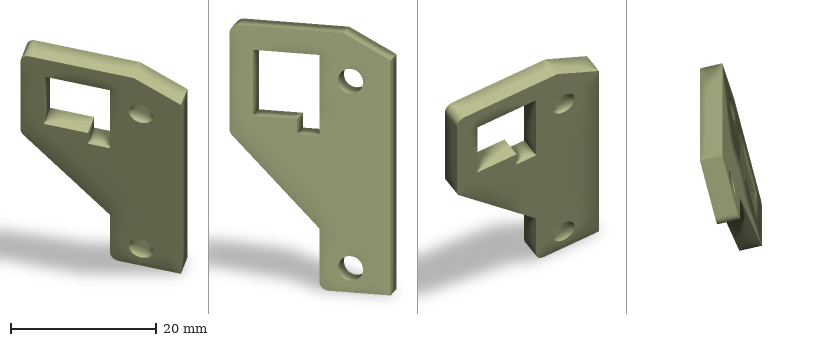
import cadquery as cq

width = 22.96
height = 37.2
thickness = 3.17

corner_radius = 1.27
foot_width = 10.16
foot_left = width - foot_width
foot_height = 8.85
slope_start = foot_height + foot_left
bevel_width = 6.75
bevel_drop = 3.42

hole_diameter = 3.56
hole_x = 17.25
lower_hole_z = 3.43
hole_spacing = 26.92

window_size = 9.47
window_right = foot_left
window_left = window_right - window_size
window_top = height - bevel_drop
window_bottom = window_top - window_size
step_width = 3.17
step_depth = 2.13


def make_plate():
    """Extruded outline with three rounded corners on its left side."""
    outline = [
        (foot_left, 0),
        (width, 0),
        (width, height - bevel_drop),
        (width - bevel_width, height),
        (0, height),
        (0, slope_start),
        (foot_left, foot_height),
    ]
    plate = cq.Workplane("XZ").polyline(outline).close().extrude(-thickness)
    rounded_corners = [(foot_left, 0), (0, height), (0, slope_start)]
    for x, z in rounded_corners:
        corner_edge = cq.selectors.NearestToPointSelector((x, thickness / 2, z))
        plate = plate.edges("|Y").edges(corner_edge).fillet(corner_radius)
    return plate


def make_window():
    """Square opening with a shallow step at its lower right corner."""
    outline = [
        (window_left, window_top),
        (window_right, window_top),
        (window_right, window_bottom - step_depth),
        (window_right - step_width, window_bottom - step_depth),
        (window_right - step_width, window_bottom),
        (window_left, window_bottom),
    ]
    return cq.Workplane("XZ").polyline(outline).close().extrude(-thickness)


def make_screw_holes():
    """Two through holes, one above the other."""
    centers = [(hole_x, lower_hole_z), (hole_x, lower_hole_z + hole_spacing)]
    return cq.Workplane("XZ").pushPoints(centers).circle(hole_diameter / 2).extrude(-thickness)


result = make_plate().cut(make_window()).cut(make_screw_holes())